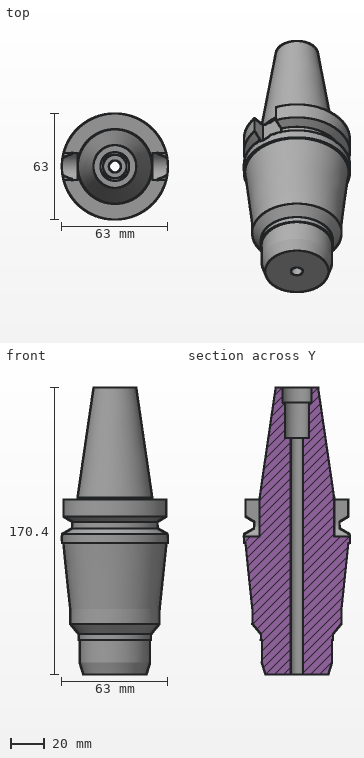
import cadquery as cq

total_height = 170.4
flange_radius = 31.5

gauge_radius = 22.24
gauge_z = 105.0
taper_per_side = 7 / 48
taper_top_radius = gauge_radius - (total_height - gauge_z) * taper_per_side
neck_radius = 22.0

flange_top_z = 104.0
groove_upper_edge_z = 93.7
groove_floor_top_z = 90.7
groove_floor_bottom_z = 86.7
groove_lower_edge_z = 83.5
flange_bottom_z = 78.0
groove_radius = 26.5

body_top_radius = 30.7
collar_radius = 26.5
collar_top_z = 38.9
collar_bottom_z = 30.2

nose_rim_radius = 21.5
nose_rim_top_z = 24.0
nose_rim_bottom_z = 20.5
nose_radius = 21.0
nose_chamfer_z = 7.2
nose_tip_radius = 18.7

counterbore_radius = 8.5
counterbore_depth = 9.0
thread_radius = 7.0
thread_depth = 30.0
through_radius = 3.5

slot_width = 16.0
slot_bottom_z = 82.0
slot_floor_x = 22.24


def make_body():
    """Revolve the outer half profile about the Z axis."""
    profile = [
        (0, 0),
        (nose_tip_radius, 0),
        (nose_radius, nose_chamfer_z),
        (nose_radius, nose_rim_bottom_z),
        (nose_rim_radius, nose_rim_bottom_z),
        (nose_rim_radius, nose_rim_top_z),
        (collar_radius, collar_bottom_z),
        (collar_radius, collar_top_z),
        (body_top_radius, flange_bottom_z),
        (flange_radius, flange_bottom_z),
        (flange_radius, groove_lower_edge_z),
        (groove_radius, groove_floor_bottom_z),
        (groove_radius, groove_floor_top_z),
        (flange_radius, groove_upper_edge_z),
        (flange_radius, flange_top_z),
        (neck_radius, flange_top_z),
        (neck_radius, gauge_z),
        (gauge_radius, gauge_z),
        (taper_top_radius, total_height),
        (0, total_height),
    ]
    return cq.Workplane("XZ").polyline(profile).close().revolve(360, (0, 0), (0, 1))


def make_bore():
    """Central through hole with a thread bore and counterbore at the taper end."""
    thread_z = total_height - thread_depth
    counterbore_z = total_height - counterbore_depth
    through = cq.Workplane("XY").circle(through_radius).extrude(total_height)
    thread = cq.Workplane("XY", origin=(0, 0, thread_z)).circle(thread_radius).extrude(thread_depth)
    counterbore = (
        cq.Workplane("XY", origin=(0, 0, counterbore_z))
        .circle(counterbore_radius)
        .extrude(counterbore_depth)
    )
    return through.union(thread).union(counterbore)


def make_slot():
    """Cutter for the drive slot on the +X side."""
    half_width = slot_width / 2
    arc_start_z = slot_bottom_z + half_width
    return (
        cq.Workplane("YZ", origin=(slot_floor_x, 0, 0))
        .moveTo(-half_width, flange_top_z)
        .lineTo(-half_width, arc_start_z)
        .threePointArc((0, slot_bottom_z), (half_width, arc_start_z))
        .lineTo(half_width, flange_top_z)
        .close()
        .extrude(flange_radius - slot_floor_x)
    )


result = make_body().cut(make_bore())
for angle in (0, 180):
    result = result.cut(make_slot().rotate((0, 0, 0), (0, 0, 1), angle))